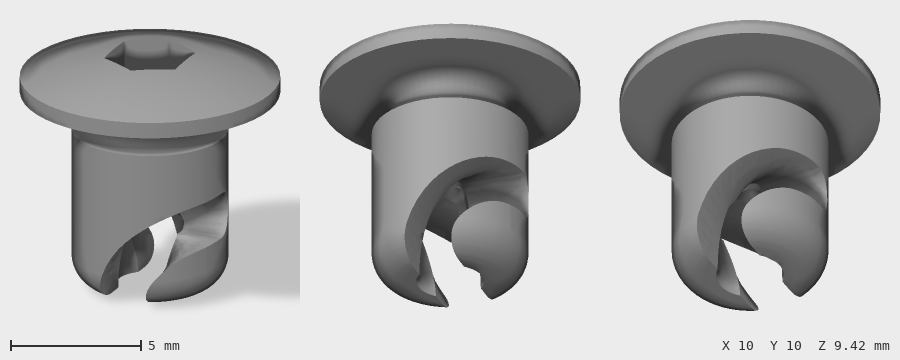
import cadquery as cq
import math


HEAD_RADIUS = 5.0
RIM_HEIGHT = 0.63
DOME_RADIUS = 13.35

NECK_RADIUS = 2.25
NECK_FILLET = 0.5
NECK_LENGTH = 3 * NECK_FILLET
BODY_RADIUS = 3.01
BODY_LENGTH = 6.4
BODY_FILLET = 1.25
SHANK_END = -NECK_LENGTH - BODY_LENGTH

SOCKET_CORNER_RADIUS = 1.79
SOCKET_CORNER_ANGLES = (-13.0, 53.8, 110.0)
SOCKET_FLOOR_Z = -0.5
SOCKET_HEIGHT = 3.0

BORE_RADIUS = 1.3
BORE_DEPTH = 2.56
BORE_TIP_ANGLE = 65.0
BORE_TIP_HEIGHT = BORE_RADIUS / math.tan(math.radians(BORE_TIP_ANGLE / 2))

SLOT_WIDTH = 1.83
SLOT_HALF = SLOT_WIDTH / 2
SLOT_COUNT = 2
LOCK_HEIGHT = 3.26
LOCK_END = -1.04
RAMP_START = 0.33
RAMP_RADIUS = 3.38
RAMP_CENTER_Z = SHANK_END + LOCK_HEIGHT - RAMP_RADIUS
SLOT_INNER = 0.45
SLOT_OUTER = BODY_RADIUS + 0.5
LOCK_STEPS = 4
RAMP_STEPS = 12


def make_stud():
    """Head, necked shank and rounded lower end as one turned body."""
    dome_center = RIM_HEIGHT - math.sqrt(DOME_RADIUS**2 - HEAD_RADIUS**2)
    dome_top = dome_center + DOME_RADIUS
    half_radius = HEAD_RADIUS / 2
    dome_middle = (half_radius, dome_center + math.sqrt(DOME_RADIUS**2 - half_radius**2))
    flare_radius = NECK_RADIUS + NECK_FILLET
    return (
        cq.Workplane("XZ")
        .moveTo(0, SHANK_END)
        .lineTo(BODY_RADIUS - BODY_FILLET, SHANK_END)
        .tangentArcPoint((BODY_RADIUS, SHANK_END + BODY_FILLET), relative=False)
        .lineTo(BODY_RADIUS, -NECK_LENGTH)
        .lineTo(flare_radius, -NECK_LENGTH)
        .radiusArc((NECK_RADIUS, -NECK_LENGTH + NECK_FILLET), NECK_FILLET)
        .lineTo(NECK_RADIUS, -NECK_FILLET)
        .radiusArc((flare_radius, 0), NECK_FILLET)
        .lineTo(HEAD_RADIUS, 0)
        .lineTo(HEAD_RADIUS, RIM_HEIGHT)
        .threePointArc(dome_middle, (0, dome_top))
        .close()
        .revolve(360, (0, 0, 0), (0, 1, 0))
    )


def make_socket():
    """Six-sided recess in the head."""
    corners = []
    for half_turn in (0, 180):
        for angle in SOCKET_CORNER_ANGLES:
            turn = math.radians(angle + half_turn)
            corners.append((SOCKET_CORNER_RADIUS * math.cos(turn), SOCKET_CORNER_RADIUS * math.sin(turn)))
    floor = cq.Workplane("XY", origin=(0, 0, SOCKET_FLOOR_Z))
    return floor.polyline(corners).close().extrude(SOCKET_HEIGHT)


def make_bore():
    """Blind bore with a conical tip, open at the lower end."""
    return (
        cq.Workplane("XZ", origin=(0, 0, SHANK_END))
        .lineTo(BORE_RADIUS, 0)
        .lineTo(BORE_RADIUS, BORE_DEPTH)
        .lineTo(0, BORE_DEPTH + BORE_TIP_HEIGHT)
        .close()
        .revolve(360, (0, 0, 0), (0, 1, 0))
    )


def slot_path():
    """Arc length and downward slope angle at points from the round end to the foot of the ramp."""
    lock_length = RAMP_START - LOCK_END
    level = [(LOCK_END + lock_length * step / LOCK_STEPS, 0) for step in range(LOCK_STEPS)]
    slopes = [math.pi / 2 * step / RAMP_STEPS for step in range(RAMP_STEPS + 1)]
    ramp = [(RAMP_START + RAMP_RADIUS * math.sin(slope), slope) for slope in slopes]
    return level + ramp


def slot_point(arc, slope, offset, depth):
    """Point offset across the path, at a distance from the axis along the local cutting direction."""
    turn = arc / BODY_RADIUS
    sideways = offset * math.sin(slope)
    return cq.Vector(
        -depth * math.cos(turn) + sideways * math.sin(turn),
        depth * math.sin(turn) + sideways * math.cos(turn),
        RAMP_CENTER_Z + (RAMP_RADIUS + offset) * math.cos(slope),
    )


def slot_edges(depth):
    """Upper edge, lower edge and round end of the slot at one distance from the axis."""
    path = slot_path()
    upper, lower = [
        cq.Edge.makeSpline([slot_point(arc, slope, offset, depth) for arc, slope in path])
        for offset in (SLOT_HALF, -SLOT_HALF)
    ]
    turn = LOCK_END / BODY_RADIUS
    forward = cq.Vector(math.sin(turn), math.cos(turn), 0)
    end_tip = slot_point(LOCK_END, 0, 0, depth) - forward * SLOT_HALF
    round_end = cq.Edge.makeThreePointArc(upper.startPoint(), end_tip, lower.startPoint())
    return upper, lower, round_end


def make_slot():
    """Slot cutter: ruled walls between its inner and outer outlines, closed on all sides."""
    inner = slot_edges(SLOT_INNER)
    outer = slot_edges(SLOT_OUTER)
    faces = [cq.Face.makeRuledSurface(*pair) for pair in zip(inner, outer)]
    foot_edges = []
    for upper, lower, round_end in (inner, outer):
        faces.append(cq.Face.makeRuledSurface(upper, lower))
        chord = cq.Edge.makeLine(upper.startPoint(), lower.startPoint())
        faces.append(cq.Face.makeFromWires(cq.Wire.assembleEdges([round_end, chord])))
        foot_edges.append(cq.Edge.makeLine(upper.endPoint(), lower.endPoint()))
    faces.append(cq.Face.makeRuledSurface(*foot_edges))
    return cq.Workplane(cq.Solid.makeSolid(cq.Shell.makeShell(faces)).fix())


result = make_stud().cut(make_socket()).cut(make_bore())
slot = make_slot()
for index in range(SLOT_COUNT):
    result = result.cut(slot.rotate((0, 0, 0), (0, 0, 1), index * 360 / SLOT_COUNT))